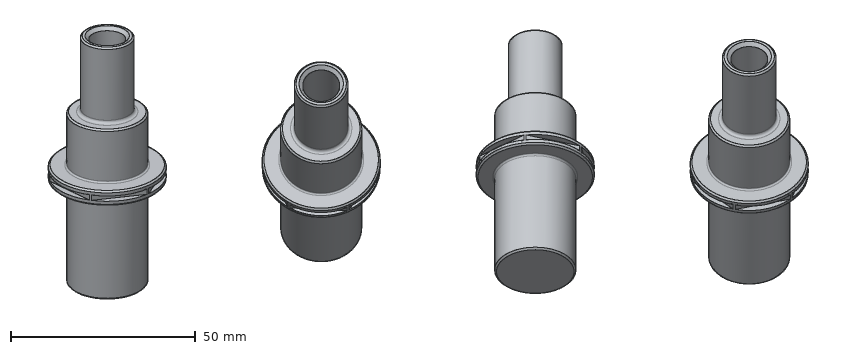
import cadquery as cq
import math

total_height = 74.6
neck_length = 23.0
shoulder_z = total_height - neck_length

body_diameter = 22.0
neck_diameter = 14.6
flange_diameter = 32.0

flange_bottom_z = 31.0
flange_thickness = 4.5
flange_top_z = flange_bottom_z + flange_thickness

edge_chamfer = 0.5
flange_fillet = 0.5
neck_fillet = 1.0

slot_count = 6
slot_width = 1.6
slot_center_z = flange_bottom_z + flange_thickness / 2
slot_across_flats = 28.0

bore_diameter = 10.0
bore_mouth_diameter = 12.0
bore_mouth_depth = 1.0
bore_depth = neck_length
drill_point_angle = 118.0


def fillet_middle(radius, floor_z, fillet_radius, direction):
    """Midpoint of a concave fillet between a cylinder and a flat face.

    direction is +1 where the cylinder rises from the face, -1 where it hangs below it.
    """
    offset = fillet_radius * (1 - math.sqrt(0.5))
    return (radius + offset, floor_z + direction * offset)


def turned_body():
    """Solid of revolution: lower body, flange, upper body and neck."""
    body_radius = body_diameter / 2
    neck_radius = neck_diameter / 2
    flange_radius = flange_diameter / 2
    profile = (
        cq.Workplane("XZ")
        .moveTo(0, 0)
        .lineTo(body_radius - edge_chamfer, 0)
        .lineTo(body_radius, edge_chamfer)
        .lineTo(body_radius, flange_bottom_z - flange_fillet)
        .threePointArc(
            fillet_middle(body_radius, flange_bottom_z, flange_fillet, -1),
            (body_radius + flange_fillet, flange_bottom_z),
        )
        .lineTo(flange_radius - edge_chamfer, flange_bottom_z)
        .lineTo(flange_radius, flange_bottom_z + edge_chamfer)
        .lineTo(flange_radius, flange_top_z - edge_chamfer)
        .lineTo(flange_radius - edge_chamfer, flange_top_z)
        .lineTo(body_radius + flange_fillet, flange_top_z)
        .threePointArc(
            fillet_middle(body_radius, flange_top_z, flange_fillet, 1),
            (body_radius, flange_top_z + flange_fillet),
        )
        .lineTo(body_radius, shoulder_z - edge_chamfer)
        .lineTo(body_radius - edge_chamfer, shoulder_z)
        .lineTo(neck_radius + neck_fillet, shoulder_z)
        .threePointArc(
            fillet_middle(neck_radius, shoulder_z, neck_fillet, 1),
            (neck_radius, shoulder_z + neck_fillet),
        )
        .lineTo(neck_radius, total_height - edge_chamfer)
        .lineTo(neck_radius - edge_chamfer, total_height)
        .lineTo(0, total_height)
        .close()
    )
    return profile.revolve(360, (0, 0, 0), (0, 1, 0))


def neck_bore():
    """Cutter for the countersunk blind bore with its conical bottom."""
    bore_radius = bore_diameter / 2
    floor_z = total_height - bore_depth
    point_height = bore_radius / math.tan(math.radians(drill_point_angle / 2))
    profile = (
        cq.Workplane("XZ")
        .moveTo(0, total_height)
        .lineTo(bore_mouth_diameter / 2, total_height)
        .lineTo(bore_radius, total_height - bore_mouth_depth)
        .lineTo(bore_radius, floor_z)
        .lineTo(0, floor_z - point_height)
        .close()
    )
    return profile.revolve(360, (0, 0, 0), (0, 1, 0))


def rim_slot(angle):
    """Cutter for one slot whose flat floor faces outward, turned by angle from -Y."""
    slot_depth = (flange_diameter - slot_across_flats) / 2
    cutter_center_y = -(slot_across_flats + slot_depth) / 2
    return (
        cq.Workplane("XY")
        .box(flange_diameter, slot_depth, slot_width)
        .translate((0, cutter_center_y, slot_center_z))
        .rotate((0, 0, 0), (0, 0, 1), angle)
    )


result = turned_body().cut(neck_bore())
for index in range(slot_count):
    result = result.cut(rim_slot(index * 360 / slot_count))